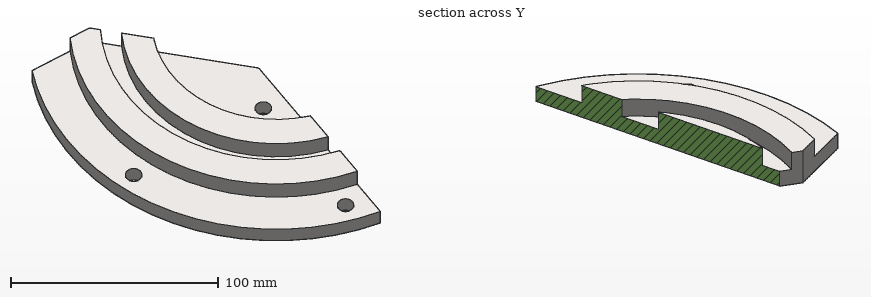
import cadquery as cq
import math

length = 165.6
base_thickness = 9.0
total_height = 19.0
outer_radius = 120.0
ring_radii = [(60.0, 75.0), (85.0, 100.0)]

back_y = -18.0
bevel_offset = 30.0
right_x = math.sqrt(outer_radius**2 - back_y**2)
left_x = right_x - length

hole_diameter = 8.0
hole_left_x = 34.0
hole_right_x = 106.0
hole_back_y = -30.0
hole_front_y = -105.0
hole_centres = [
    (hole_left_x, hole_back_y),
    (hole_right_x, hole_back_y),
    (hole_left_x, hole_front_y),
]


def sector(height):
    """Plate bounded by the back, bevel and left edges and the outer arc."""
    left_front_y = -math.sqrt(outer_radius**2 - left_x**2)
    return (
        cq.Workplane("XY")
        .moveTo(right_x, back_y)
        .lineTo(back_y + bevel_offset, back_y)
        .lineTo(left_x, left_x - bevel_offset)
        .lineTo(left_x, left_front_y)
        .threePointArc((0, -outer_radius), (right_x, back_y))
        .close()
        .extrude(height)
    )


def full_ring(inner_radius, ring_outer_radius):
    """Complete ring through the full height, to be trimmed to the sector."""
    return cq.Workplane("XY").circle(ring_outer_radius).circle(inner_radius).extrude(total_height)


result = sector(base_thickness)
for inner_radius, ring_outer_radius in ring_radii:
    result = result.union(sector(total_height).intersect(full_ring(inner_radius, ring_outer_radius)))

holes = cq.Workplane("XY").pushPoints(hole_centres).circle(hole_diameter / 2).extrude(total_height)
result = result.cut(holes)